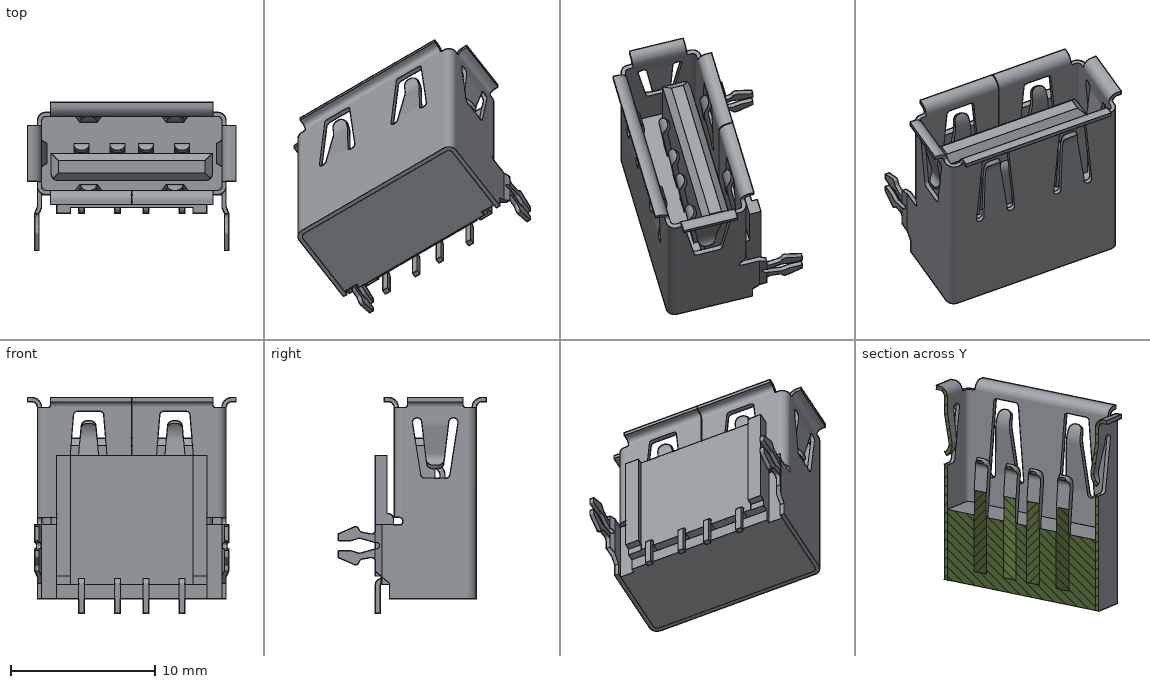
import cadquery as cq
import math


SAME_POINT = 1.5e-07

SHEET = 0.3
INNER_WIDTH = 12.52
INNER_DEPTH = 5.13
INNER_CORNER = 0.3
OUTER_CORNER = INNER_CORNER + SHEET
OUTER_WIDTH = INNER_WIDTH + 2 * SHEET
OUTER_DEPTH = INNER_DEPTH + 2 * SHEET
SIDE_FACE = INNER_WIDTH / 2
BACK_FACE = INNER_DEPTH / 2
TUBE_TOP = 13.3
SEAM_GAP = 0.05

LIP_BEND = 0.39
LIP_FLAT = 0.3
LIP_ROOT_FILLET = 0.15
LONG_LIP = 11.3
SHORT_LIP = 3.88
MOUTH_TOP = TUBE_TOP + LIP_BEND + SHEET

FINGER_ROOT_BEND = 1.5
LONG_FINGER_X = 3.0
LONG_FINGER_ROOT = 7.5
SIDE_FINGER_ROOT = 12.25
LONG_FINGER = {
    "lean": 6.6, "straight": 3.38, "tip_angle": 40.0, "tip_bend": 1.5,
    "half_width": 0.92, "taper": 0.088, "tip_round": 0.46,
    "window_root": 1.48, "window_end": 1.02, "window_length": 5.52, "window_corner": 0.24,
}
SIDE_FINGER = {
    "lean": 10.5, "straight": 1.89, "tip_angle": 59.0, "tip_bend": 0.75,
    "half_width": 0.95, "taper": 0.12, "tip_round": 0.54,
    "window_root": 1.58, "window_end": 0.98, "window_length": 3.87, "window_corner": 0.3,
}

FRONT_WALL_BOTTOM = 5.65
SIDE_PLATE_TOP = 5.16
RELIEF_Y = OUTER_CORNER - OUTER_DEPTH / 2
RELIEF_TOP_ROUND = 0.22
RELIEF_FOOT_ROUND = 0.15
PLATE_OVERLAP = 0.15
PLATE_FOOT_Y = -3.2
PLATE_FOOT_TOP = 1.08
JOG_START_Y = -3.7
JOG_END_Y = -4.17
JOG_SHIFT = 0.18
JOG_EDGE_BOTTOM = 1.92
LEG_Z = 3.69
LEG_TIP_Y = -6.75
LEG_SLOT = 0.22
LEG_SLOT_END_Y = -3.87
PRONG = (
    (JOG_END_Y, 0.76, 0.27), (-5.19, 0.96, 0.27), (-5.45, 1.4, 0.22), (LEG_TIP_Y, 0.82, 0.09),
    (LEG_TIP_Y, 0.35, 0.06), (-5.85, 0.35, 0.22), (-5.28, 0.52, 0.15), (-4.2, LEG_SLOT, 0.15),
    (LEG_SLOT_END_Y, LEG_SLOT, LEG_SLOT),
)

BASE_FRONT_Y = -2.9
BASE_TOP = SIDE_PLATE_TOP
BLOCK_WIDTH = 10.45
BLOCK_HALF_WIDTH = BLOCK_WIDTH / 2
PAD_TOP = 5.94
PAD_ROUND = 0.42
SLAB_BACK_Y = -3.35
SLAB_FRONT_Y = -3.76
SLAB_STEP = 0.06
SLAB_BOTTOM = 0.99
SLAB_TOP = 9.96
RAIL_WIDTH = 0.98
RAIL_FRONT_Y = JOG_END_Y
RAIL_BOTTOM = 1.58
TONGUE_WIDTH = 11.19
TONGUE_THICKNESS = 1.88
TONGUE_TOP = 11.16
TONGUE_CHAMFER = 0.51
TONGUE_CORNER = 0.44

OUTER_CONTACT_X = 3.5
INNER_CONTACT_X = 0.99
CONTACT_X = (-OUTER_CONTACT_X, -INNER_CONTACT_X, INNER_CONTACT_X, OUTER_CONTACT_X)
CONTACT_SHEET = 0.36
CONTACT_WIDTH = 1.05
CONTACT_ROOT_LEG = 0.24
CONTACT_LEAN = 6.0
CONTACT_ROOT_BEND = 0.6
CONTACT_SLANT = 3.03
CONTACT_TIP_BEND = 0.54
CONTACT_TIP_LEAN = 60.0
CONTACT_TIP_ROUND = 0.45
TAIL_WIDTH = 0.4
TAIL_TOP = 1.41
TAIL_BOTTOM = -1.0
TAIL_FRONT_Y = RAIL_FRONT_Y
TAIL_BEND = 0.09


def bent_strip(start, heading, moves, thickness, width):
    """Sheet strip bent in the YZ plane, spread evenly to both sides of X = 0.

    `start` is a (Y, Z) point on the left face; a heading of 0 runs along +Z and grows toward +Y.
    Moves are ("straight", length) or ("bend", turn, inside radius).
    """
    def right_of(point, angle, distance):
        turn = math.radians(angle)
        return (point[0] + distance * math.cos(turn), point[1] - distance * math.sin(turn))

    left, right = start, right_of(start, heading, thickness)
    left_path, right_path = [(None, left)], [(None, right)]
    for kind, *values in moves:
        if kind == "straight":
            left = right_of(left, heading - 90, values[0])
            mid_left = mid_right = None
        else:
            turn, radius = values
            left_radius = thickness + radius if turn > 0 else -radius
            centre = right_of(left, heading, left_radius)
            middle = heading + turn / 2
            heading += turn
            mid_left = right_of(centre, middle, -left_radius)
            mid_right = right_of(centre, middle, thickness - left_radius)
            left = right_of(centre, heading, -left_radius)
        right = right_of(left, heading, thickness)
        left_path.append((mid_left, left))
        right_path.append((mid_right, right))

    outline = cq.Workplane("YZ").moveTo(*start)
    for middle, end in left_path[1:]:
        outline = outline.threePointArc(middle, end) if middle else outline.lineTo(*end)
    outline = outline.lineTo(*right)
    for index in range(len(right_path) - 1, 0, -1):
        middle = right_path[index][0]
        end = right_path[index - 1][1]
        outline = outline.threePointArc(middle, end) if middle else outline.lineTo(*end)
    return outline.close().extrude(width / 2, both=True)


def rounded_outline(plane, corners):
    """Closed outline through (x, y, radius) corners, each rounded by a tangent arc."""
    stretches = []
    for index, (x, y, radius) in enumerate(corners):
        before = corners[index - 1]
        after = corners[(index + 1) % len(corners)]
        toward_before = math.atan2(before[1] - y, before[0] - x)
        toward_after = math.atan2(after[1] - y, after[0] - x)
        half_angle = abs(math.remainder(toward_after - toward_before, 2 * math.pi)) / 2
        bisector = toward_before + math.remainder(toward_after - toward_before, 2 * math.pi) / 2
        reach = radius / math.tan(half_angle)
        depth = radius / math.sin(half_angle) - radius
        stretches.append([
            (x + distance * math.cos(angle), y + distance * math.sin(angle))
            for distance, angle in ((reach, toward_before), (depth, bisector), (reach, toward_after))
        ])
    outline = cq.Workplane(plane).moveTo(*stretches[0][2])
    previous = stretches[0][2]
    for (start, middle, end), corner in zip(stretches[1:] + stretches[:1], corners[1:] + corners[:1]):
        if math.dist(previous, start) > SAME_POINT:
            outline = outline.lineTo(*start)
        if corner[2] > 0:
            outline = outline.threePointArc(middle, end)
        previous = end
    return outline.close()


def round_tip(strip, heading, radius):
    """Rounds the corners at the free end of a strip that ends at the given heading."""
    turn = math.radians(heading)
    end_face = cq.selectors.DirectionMinMaxSelector(cq.Vector(0, math.sin(turn), math.cos(turn)))
    return strip.faces(end_face).edges("not |X").fillet(radius)


def block(x_range, y_range, z_range):
    """Box between the given limits."""
    sizes = [high - low for low, high in (x_range, y_range, z_range)]
    return cq.Workplane("XY").box(*sizes, centered=False).translate((x_range[0], y_range[0], z_range[0]))


def turned(shape, angle):
    """Shape turned about the Z axis."""
    return shape.rotate((0, 0, 0), (0, 0, 1), angle)


def lip(inner_face, width):
    """Lip flaring outward from the tube top, with filleted root corners."""
    strip = bent_strip(
        (inner_face, TUBE_TOP), 0, [("bend", 90, LIP_BEND), ("straight", LIP_FLAT)],
        SHEET, width + 2 * LIP_ROOT_FILLET,
    )
    half = width / 2
    root = half + LIP_ROOT_FILLET
    corners = [
        (-root, TUBE_TOP - SHEET, 0), (root, TUBE_TOP - SHEET, 0), (root, TUBE_TOP, 0),
        (half, TUBE_TOP, LIP_ROOT_FILLET), (half, MOUTH_TOP, 0),
        (-half, MOUTH_TOP, 0), (-half, TUBE_TOP, LIP_ROOT_FILLET), (-root, TUBE_TOP, 0),
    ]
    outline = rounded_outline("XZ", corners).extrude(-2 * inner_face)
    return strip.intersect(outline)


def finger(size, inner_face):
    """Tapered finger rising from Z = 0, leaning inward, with a curled round tip."""
    strip = bent_strip(
        (inner_face, 0), 0,
        [
            ("bend", -size["lean"], FINGER_ROOT_BEND),
            ("straight", size["straight"]),
            ("bend", size["lean"] + size["tip_angle"], size["tip_bend"]),
        ],
        SHEET, 2 * size["half_width"],
    )
    height = strip.val().BoundingBox().zmax
    root = size["half_width"]
    end = root - size["taper"] * height
    outline = (
        cq.Workplane("XZ").polyline([(-root, 0), (root, 0), (end, height), (-end, height)]).close()
        .extrude(-2 * inner_face)
    )
    return round_tip(strip.intersect(outline), size["tip_angle"], size["tip_round"])


def finger_window(size, inner_face):
    """Opening around a finger; round slot ends flank the root."""
    cut_depth = 3 * SHEET
    root, end, length = size["window_root"], size["window_end"], size["window_length"]
    wall = cq.Workplane("XZ", origin=(0, inner_face - SHEET, 0))
    opening = (
        wall.polyline([(-root, 0), (root, 0), (end, length), (-end, length)]).close().extrude(-cut_depth)
        .edges("|Y and >Z").fillet(size["window_corner"])
    )
    slot_x = (root + size["half_width"]) / 2
    slot_radius = (root - size["half_width"]) / 2
    slot_ends = wall.pushPoints([(-slot_x, 0), (slot_x, 0)]).circle(slot_radius).extrude(-cut_depth)
    return opening.union(slot_ends)


def long_wall_places(shape):
    """Copies for both fingers of the +Y and the -Y wall."""
    for x in (-LONG_FINGER_X, LONG_FINGER_X):
        for angle in (0, 180):
            yield turned(shape.translate((x, 0, LONG_FINGER_ROOT)), angle)


def side_wall_places(shape):
    """Copies hanging down in the +X and the -X wall."""
    hanging = shape.rotate((0, 0, 0), (0, 1, 0), 180).translate((0, 0, SIDE_FINGER_ROOT))
    for angle in (-90, 90):
        yield turned(hanging, angle)


def side_plate():
    """+X wall below the front relief, jogged outward into a split board-lock leg."""
    rear_y = RELIEF_Y + PLATE_OVERLAP
    outer = SIDE_FACE + SHEET
    lock = outer + JOG_SHIFT
    plan = [
        (SIDE_FACE, rear_y, 0), (outer, rear_y, 0), (outer, JOG_START_Y, 0), (lock, JOG_END_Y, 0),
        (lock, LEG_TIP_Y, 0), (lock - SHEET, LEG_TIP_Y, 0), (lock - SHEET, JOG_END_Y, 0),
        (SIDE_FACE, JOG_START_Y - JOG_SHIFT / 2, 0),
    ]
    sheet = rounded_outline("XY", plan).extrude(FRONT_WALL_BOTTOM)

    lower_prong = [(y, LEG_Z - height, radius) for y, height, radius in PRONG]
    upper_prong = [(y, LEG_Z + height, radius) for y, height, radius in reversed(PRONG)]
    corners = [
        (rear_y, 0, 0), (PLATE_FOOT_Y, 0, 0), (PLATE_FOOT_Y, PLATE_FOOT_TOP, 0),
        (JOG_END_Y, JOG_EDGE_BOTTOM, 0),
        *lower_prong, *upper_prong,
        (JOG_END_Y, SIDE_PLATE_TOP, 0), (RELIEF_Y, SIDE_PLATE_TOP, RELIEF_FOOT_ROUND),
        (RELIEF_Y, FRONT_WALL_BOTTOM, 0), (rear_y, FRONT_WALL_BOTTOM, 0),
    ]
    outline = rounded_outline("YZ", corners).extrude(OUTER_WIDTH)
    return sheet.intersect(outline)


def tube():
    """Rectangular tube whose lower front is cut away."""
    outside = cq.Workplane("XY").rect(OUTER_WIDTH, OUTER_DEPTH).extrude(TUBE_TOP)
    inside = cq.Workplane("XY").rect(INNER_WIDTH, INNER_DEPTH).extrude(TUBE_TOP)
    walls = outside.edges("|Z").fillet(OUTER_CORNER).cut(inside.edges("|Z").fillet(INNER_CORNER))
    relief = block(
        (-OUTER_WIDTH, OUTER_WIDTH), (-OUTER_DEPTH, RELIEF_Y), (-SHEET, FRONT_WALL_BOTTOM)
    ).edges("|X and >Y and >Z").fillet(RELIEF_TOP_ROUND)
    return walls.cut(relief)


def make_shell():
    """Tube with its fingers, lips and side plates, split by the front seam."""
    shell = tube()
    for window in long_wall_places(finger_window(LONG_FINGER, BACK_FACE)):
        shell = shell.cut(window)
    for window in side_wall_places(finger_window(SIDE_FINGER, SIDE_FACE)):
        shell = shell.cut(window)
    for spring in long_wall_places(finger(LONG_FINGER, BACK_FACE)):
        shell = shell.union(spring)
    for spring in side_wall_places(finger(SIDE_FINGER, SIDE_FACE)):
        shell = shell.union(spring)
    for angle in (0, 180):
        shell = shell.union(turned(lip(BACK_FACE, LONG_LIP), angle))
    for angle in (-90, 90):
        shell = shell.union(turned(lip(SIDE_FACE, SHORT_LIP), angle))
    plate = side_plate()
    shell = shell.union(plate).union(plate.mirror("YZ"))
    seam = block((-SEAM_GAP / 2, SEAM_GAP / 2), (-OUTER_DEPTH, RELIEF_Y), (0, MOUTH_TOP))
    return shell.cut(seam)


def contact(x):
    """Spring contact on the +Y side of the tongue: bulges out, then tips back toward the tongue."""
    strip = bent_strip(
        (0, TAIL_TOP - CONTACT_SHEET), 0,
        [
            ("straight", BASE_TOP + CONTACT_ROOT_LEG - TAIL_TOP + CONTACT_SHEET),
            ("bend", CONTACT_LEAN, CONTACT_ROOT_BEND),
            ("straight", CONTACT_SLANT),
            ("bend", -CONTACT_LEAN - CONTACT_TIP_LEAN, CONTACT_TIP_BEND),
        ],
        CONTACT_SHEET, CONTACT_WIDTH,
    )
    strip = round_tip(strip, -CONTACT_TIP_LEAN, CONTACT_TIP_ROUND)
    return strip.translate((x, 0, 0))


def tail(x):
    """Solder tail: level through the housing from the contact, then bent down."""
    level = -TAIL_FRONT_Y - CONTACT_SHEET - TAIL_BEND
    strip = bent_strip(
        (0, TAIL_TOP - CONTACT_SHEET), -90,
        [
            ("straight", level),
            ("bend", -90, TAIL_BEND),
            ("straight", TAIL_TOP - CONTACT_SHEET - TAIL_BEND - TAIL_BOTTOM),
        ],
        CONTACT_SHEET, TAIL_WIDTH,
    )
    return strip.translate((x, 0, 0))


def tongue():
    """Contact tongue with a chamfered top and rounded front corners."""
    body = block((-TONGUE_WIDTH / 2, TONGUE_WIDTH / 2), (-TONGUE_THICKNESS, 0), (0, TONGUE_TOP))
    chamfered = body.faces(">Z").chamfer(TONGUE_CHAMFER)
    rounded = body.edges("|Z and <Y").fillet(TONGUE_CORNER)
    return chamfered.intersect(rounded)


def base():
    """Floor of the mouth, filling the shell below the side plate tops."""
    floor = block((-SIDE_FACE, SIDE_FACE), (BASE_FRONT_Y, BACK_FACE), (0, BASE_TOP))
    floor = floor.edges("|Z and >Y").fillet(INNER_CORNER)
    across = (-BLOCK_HALF_WIDTH, BLOCK_HALF_WIDTH)
    foot = block(across, (PLATE_FOOT_Y, BASE_FRONT_Y), (0, BASE_TOP))
    pad = block(across, (SLAB_BACK_Y, BASE_FRONT_Y), (SLAB_BOTTOM, PAD_TOP))
    return floor.union(foot).union(pad.edges("|X and >Y and >Z").fillet(PAD_ROUND))


def front_slab():
    """Upright slab in front of the shell with a rail along each side."""
    across = (-BLOCK_HALF_WIDTH, BLOCK_HALF_WIDTH)
    between_rails = BLOCK_HALF_WIDTH - RAIL_WIDTH
    slab = block(across, (SLAB_FRONT_Y + SLAB_STEP, SLAB_BACK_Y), (SLAB_BOTTOM, SLAB_TOP))
    face = block((-between_rails, between_rails), (SLAB_FRONT_Y, SLAB_BACK_Y), (SLAB_BOTTOM, SLAB_TOP))
    rail = block((between_rails, BLOCK_HALF_WIDTH), (RAIL_FRONT_Y, SLAB_BACK_Y), (RAIL_BOTTOM, SLAB_TOP))
    return slab.union(face).union(rail).union(rail.mirror("YZ"))


def make_housing(inserts):
    """Base, slab and tongue in one, with a fitting recess for each contact and tail."""
    housing = base().union(front_slab()).union(tongue())
    for insert in inserts:
        housing = housing.cut(insert)
    return housing


shell = make_shell()
contacts = [contact(x) for x in CONTACT_X]
tails = [tail(x) for x in CONTACT_X]
housing = make_housing(contacts + tails)
pins = [pin.val() for pin in contacts + tails]
result = cq.Compound.makeCompound([shell.val(), housing.val(), *pins])